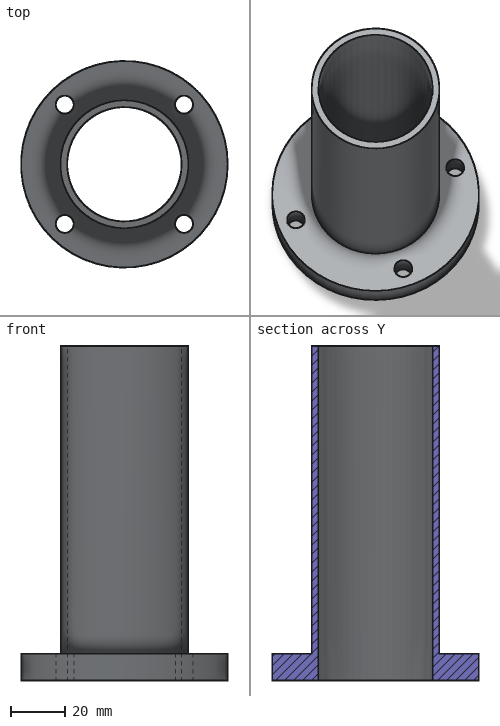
import cadquery as cq

total_height = 123.0
flange_diameter = 76.0
flange_thickness = 10.0
tube_outer_diameter = 47.0
bore_diameter = 42.0
bolt_hole_diameter = 6.5
bolt_circle_diameter = 62.0
bolt_count = 4
first_bolt_angle = 45

flange = cq.Workplane("XY").circle(flange_diameter / 2).extrude(flange_thickness)

tube = cq.Workplane("XY").circle(tube_outer_diameter / 2).extrude(total_height)

bore = cq.Workplane("XY").circle(bore_diameter / 2).extrude(total_height)

bolt_holes = (
    cq.Workplane("XY")
    .polarArray(bolt_circle_diameter / 2, first_bolt_angle, 360, bolt_count)
    .circle(bolt_hole_diameter / 2)
    .extrude(flange_thickness)
)

result = flange.union(tube).cut(bore).cut(bolt_holes)